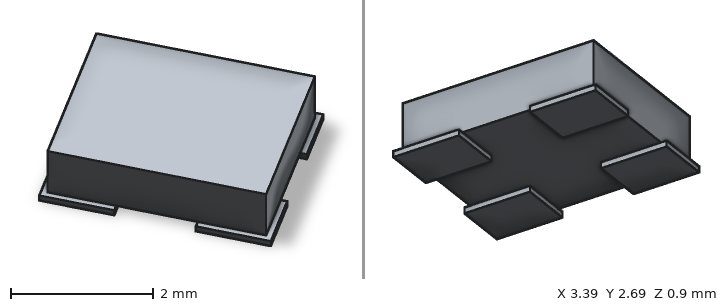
import cadquery as cq

length = 3.39
width = 2.69
height = 0.9

pad_length = 1.1
pad_width = 0.848
pad_thickness = 0.1

pad_overhang = 0.095


def make_housing():
    """Plain block resting on top of the pads."""
    return (
        cq.Workplane("XY")
        .workplane(offset=pad_thickness)
        .rect(length - 2 * pad_overhang, width - 2 * pad_overhang)
        .extrude(height - pad_thickness)
    )


def make_pad(side_x, side_y):
    """Flat pad in the corner given by the signs side_x and side_y."""
    center_x = side_x * (length - pad_length) / 2
    center_y = side_y * (width - pad_width) / 2
    return (
        cq.Workplane("XY")
        .center(center_x, center_y)
        .rect(pad_length, pad_width)
        .extrude(pad_thickness)
    )


housing = make_housing()
pads = [make_pad(side_x, side_y) for side_x in (-1, 1) for side_y in (-1, 1)]

result = cq.Compound.makeCompound([housing.val(), *[pad.val() for pad in pads]])